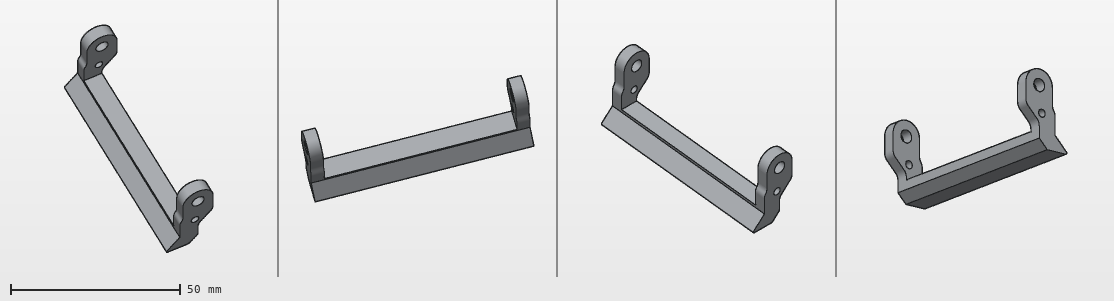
import cadquery as cq
import math

length = 67.0
depth = 15.5
height = 24.5

arm_thickness = 4.0
head_radius = 5.0
pivot_diameter = 4.0
pin_diameter = 2.5
pin_forward_offset = 1.0
pin_z = 10.9
pivot_y = depth - head_radius
pivot_z = height - head_radius

step_depth = 1.0
step_bottom_z = 10.9
step_top_z = 14.15
head_front_y = pivot_y - head_radius
front_y = head_front_y - step_depth

back_y = pivot_y
slope_bottom_z = 8.05
slope_top_z = slope_bottom_z + depth - back_y
slope_blend_radius = 3.0

bar_top_z = 6.0
blade_top_z = 5.0
back_chamfer = 3.0
sharp_tip_y = front_y - blade_top_z
tip_radius = -sharp_tip_y / math.sqrt(2)


def make_arm_profile():
    """Closed side outline of one arm in the YZ plane, up to full height."""
    step_middle_y = front_y + step_depth / 2
    step_middle_z = (step_bottom_z + step_top_z) / 2
    return (
        cq.Workplane("YZ")
        .moveTo(sharp_tip_y, 0)
        .lineTo(back_y - back_chamfer, 0)
        .lineTo(back_y, back_chamfer)
        .lineTo(back_y, slope_bottom_z)
        .lineTo(depth, slope_top_z)
        .lineTo(depth, pivot_z)
        .threePointArc((pivot_y, height), (head_front_y, pivot_z))
        .lineTo(head_front_y, step_top_z)
        .tangentArcPoint((step_middle_y, step_middle_z), relative=False)
        .tangentArcPoint((front_y, step_bottom_z), relative=False)
        .lineTo(front_y, blade_top_z)
        .close()
    )


def edge_at(y, z):
    """Selector for the lengthwise edge nearest to (y, z)."""
    return cq.selectors.NearestToPointSelector((length / 2, y, z))


def make_body():
    """Full-length extrusion of the arm outline with its blends."""
    body = make_arm_profile().extrude(length)
    for y, z in ((back_y, slope_bottom_z), (depth, slope_top_z)):
        body = body.edges("|X").edges(edge_at(y, z)).fillet(slope_blend_radius)
    return body.edges("|X").edges(edge_at(sharp_tip_y, 0)).fillet(tip_radius)


def make_gap():
    """Space between the two arms above the bar."""
    return cq.Workplane("XY").box(
        length - 2 * arm_thickness, depth, height - bar_top_z, centered=False
    ).translate((arm_thickness, 0, bar_top_z))


def make_cross_hole(diameter, y, z):
    """Cylinder along X that passes through both arms."""
    return cq.Workplane("YZ").center(y, z).circle(diameter / 2).extrude(length)


result = (
    make_body()
    .cut(make_gap())
    .cut(make_cross_hole(pivot_diameter, pivot_y, pivot_z))
    .cut(make_cross_hole(pin_diameter, pivot_y - pin_forward_offset, pin_z))
)